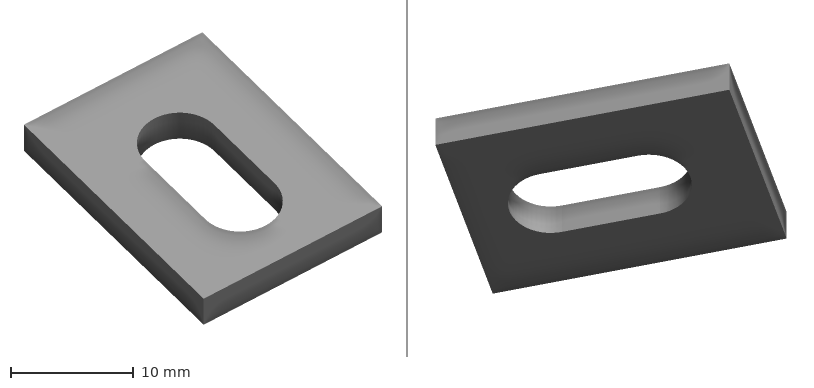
import cadquery as cq

plate_length = 24.8
plate_width = 18.0
plate_thickness = 3.0

slot_length = 15.28
slot_width = 7.0
slot_offset = 0.95

plate = cq.Workplane("XY").box(plate_length, plate_width, plate_thickness)

result = (
    plate.faces(">Z")
    .workplane()
    .center(slot_offset, 0)
    .slot2D(slot_length, slot_width)
    .cutThruAll()
)